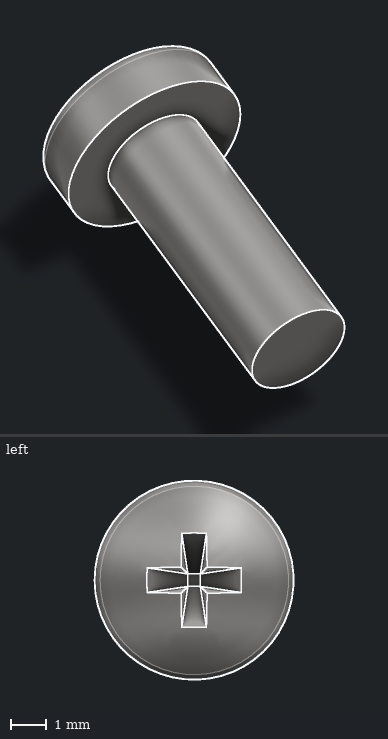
import cadquery as cq
import math

length = 10.37
shank_length = 8.02
shank_diameter = 3.02
head_diameter = 5.6
rim_fillet = 0.33
dome_radius = 4.87
recess_span = 2.93
recess_width = 0.74
recess_floor_width = 0.35
recess_depth = 1.69

head_radius = head_diameter / 2
shank_radius = shank_diameter / 2
seat_x = length - shank_length
inner_corner_radius = recess_width / math.sqrt(2)


def dome_sag(radius):
    """Axial drop of the dome from its apex at a given radius."""
    return dome_radius - math.sqrt(dome_radius**2 - radius**2)


apex_x = -dome_sag(inner_corner_radius)


def screw_blank():
    """Revolve the shank and domed head; the rim fillet is tangent to the cylinder and the dome."""
    fillet_center_r = head_radius - rim_fillet
    center_distance = dome_radius - rim_fillet
    dome_angle = math.asin(fillet_center_r / center_distance)
    dome_center_x = apex_x + dome_radius
    rim_x = dome_center_x - center_distance * math.cos(dome_angle)

    def dome_point(angle):
        return (
            dome_center_x - dome_radius * math.cos(angle),
            dome_radius * math.sin(angle),
        )

    fillet_angle = (dome_angle + math.pi / 2) / 2
    fillet_middle = (
        rim_x - rim_fillet * math.cos(fillet_angle),
        fillet_center_r + rim_fillet * math.sin(fillet_angle),
    )
    return (
        cq.Workplane("XY")
        .moveTo(apex_x, 0)
        .threePointArc(dome_point(dome_angle / 2), dome_point(dome_angle))
        .threePointArc(fillet_middle, (rim_x, head_radius))
        .lineTo(seat_x, head_radius)
        .lineTo(seat_x, shank_radius)
        .lineTo(length, shank_radius)
        .lineTo(length, 0)
        .close()
        .revolve(360, (0, 0, 0), (1, 0, 0))
    )


def recess_slot(y_size, z_size):
    """One bar of the cross, tapering from the dome apex plane to a square floor."""
    return (
        cq.Workplane("YZ", origin=(apex_x, 0, 0))
        .rect(y_size, z_size)
        .workplane(offset=recess_depth)
        .rect(recess_floor_width, recess_floor_width)
        .loft(ruled=True)
    )


result = (
    screw_blank()
    .cut(recess_slot(recess_span, recess_width))
    .cut(recess_slot(recess_width, recess_span))
)